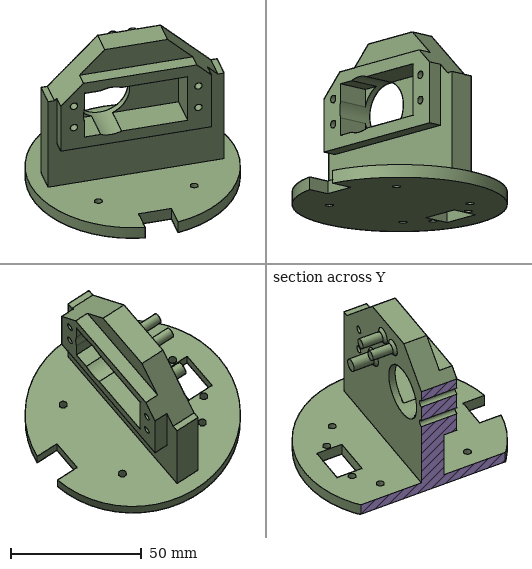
import cadquery as cq

base_diameter = 82.4
base_thickness = 5.0
mount_hole_diameter = 3.0
mount_hole_offset = 19.05
notch_width = 13.0
notch_floor_x = 31.3
window_x = -26.4
window_length = 10.9
window_width = 16.0
window_hole_pitch = 20.0

total_height = 65.05
wall_thickness = 10.0
wall_width = 70.1
shoulder_z = 45.0
flat_top_width = 25.0
wall_front_x = -5.1
wall_back_x = wall_front_x + wall_thickness
slope_rise = total_height - shoulder_z
slope_foot_y = flat_top_width / 2 + slope_rise

block_depth = 5.6
block_width = 60.0
block_center_y = -1.6
block_bottom_z = 25.0
block_top_z = 55.0

bore_diameter = 22.0
bore_y = -11.55
bore_z = 40.0
pocket_width = 41.0
pocket_height = 20.4
pocket_web = 2.8
servo_hole_diameter = 2.9
servo_hole_span = 49.5
servo_hole_pitch = 10.0

pin_length = 9.9
collar_length = 1.15
collar_overhang = 1.3
small_pin_diameter = 4.0
large_pin_diameter = 5.0
small_pin_y = 3.95
small_pin_z = 56.6
pins = [
    (small_pin_diameter, small_pin_y, small_pin_z),
    (small_pin_diameter, -small_pin_y, small_pin_z),
    (large_pin_diameter, -bore_y, bore_z),
]


def make_base():
    """Disc with an edge notch, a window and its screw holes, and four mounting holes."""
    plate = cq.Workplane("XY").circle(base_diameter / 2).extrude(base_thickness)
    notch_length = base_diameter / 2 - notch_floor_x
    notch = (
        cq.Workplane("XY")
        .center(notch_floor_x + notch_length / 2, 0)
        .rect(notch_length, notch_width)
        .extrude(base_thickness)
    )
    window = (
        cq.Workplane("XY")
        .center(window_x, 0)
        .rect(window_length, window_width)
        .extrude(base_thickness)
    )
    corners = [(sx * mount_hole_offset, sy * mount_hole_offset) for sx in (-1, 1) for sy in (-1, 1)]
    window_screws = [(window_x, side * window_hole_pitch / 2) for side in (-1, 1)]
    holes = (
        cq.Workplane("XY")
        .pushPoints(corners + window_screws)
        .circle(mount_hole_diameter / 2)
        .extrude(base_thickness)
    )
    return plate.cut(notch).cut(window).cut(holes)


def make_wall():
    """Upright slab with small shoulders and 45 degree slopes up to a flat top."""
    outline = [
        (-wall_width / 2, 0),
        (wall_width / 2, 0),
        (wall_width / 2, shoulder_z),
        (slope_foot_y, shoulder_z),
        (flat_top_width / 2, total_height),
        (-flat_top_width / 2, total_height),
        (-slope_foot_y, shoulder_z),
        (-wall_width / 2, shoulder_z),
    ]
    return cq.Workplane("YZ", origin=(wall_front_x, 0, 0)).polyline(outline).close().extrude(wall_thickness)


def slope_z(y):
    """Height of the wall's sloped edge at y."""
    return total_height - (abs(y) - flat_top_width / 2)


def make_block():
    """Servo block, its upper corners flush with the wall slopes."""
    right_y = block_center_y - block_width / 2
    left_y = block_center_y + block_width / 2
    top_half_width = flat_top_width / 2 + total_height - block_top_z
    outline = [
        (right_y, block_bottom_z),
        (left_y, block_bottom_z),
        (left_y, slope_z(left_y)),
        (top_half_width, block_top_z),
        (-top_half_width, block_top_z),
        (right_y, slope_z(right_y)),
    ]
    return cq.Workplane("YZ", origin=(wall_back_x, 0, 0)).polyline(outline).close().extrude(block_depth)


def make_servo_openings():
    """Bore and four screw holes right through, with a servo pocket open at the back."""
    through = wall_thickness + block_depth
    front = cq.Workplane("YZ", origin=(wall_front_x, 0, 0))
    bore = front.center(bore_y, bore_z).circle(bore_diameter / 2).extrude(through)
    screws = (
        front.center(block_center_y, bore_z)
        .rect(servo_hole_span, servo_hole_pitch, forConstruction=True)
        .vertices()
        .circle(servo_hole_diameter / 2)
        .extrude(through)
    )
    pocket = (
        cq.Workplane("YZ", origin=(wall_front_x + pocket_web, block_center_y, bore_z))
        .rect(pocket_width, pocket_height)
        .extrude(through - pocket_web)
    )
    return bore.union(screws).union(pocket)


def make_pin(diameter, y, z):
    """Pin pointing to -X with a conical collar against the wall."""
    radius = diameter / 2
    profile = [
        (0, 0),
        (0, radius + collar_overhang),
        (-collar_length, radius),
        (-pin_length, radius),
        (-pin_length, 0),
    ]
    return (
        cq.Workplane("XY", origin=(wall_front_x, y, z))
        .polyline(profile)
        .close()
        .revolve(360, (0, 0, 0), (1, 0, 0))
    )


result = make_base().union(make_wall()).union(make_block()).cut(make_servo_openings())
for pin in pins:
    result = result.union(make_pin(*pin))